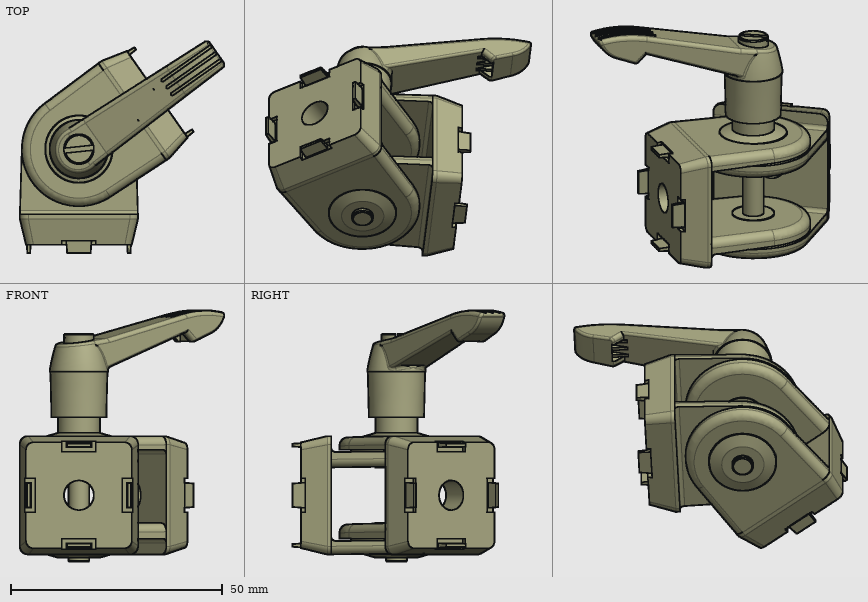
import cadquery as cq
import math


swivel_angle = 35.0
pin_radius = 2.5
washer_radius = 10.75
washer_thickness = 0.5
collar_radius = 5.0

plate_size = 28.0
plate_corner = 2.0
plate_inner_x = 15.4
plate_rim = 1.0
plate_outer_x = 22.6
plate_draft_inset = 1.5
plate_outer_corner = 1.7
plate_hole_diameter = 7.0
half_plate = plate_size / 2
outer_half = half_plate - plate_draft_inset

ear_tip_radius = 13.5
ear_round = 2.0
ear_slope_drop = 0.4
outer_ear_mate_z = 10.75
outer_ear_thickness = half_plate - outer_ear_mate_z
inner_ear_mate_z = outer_ear_mate_z - washer_thickness
inner_ear_thickness = 3.7
cove_radius = 1.0

recess_radius = 8.0
recess_floor_z = 13.0

tab_width = 6.0
tab_tip_width = 5.6
tab_thickness = 1.1
tab_tip_thickness = 0.7
tab_length = 1.97
tab_edge_gap = 0.1
notch_width = 8.0
notch_height = 2.2
notch_depth = 1.0

cone_base_radius = 7.9
cone_base_z = 13.9
cone_top_radius = 5.0
cone_top_z = 14.75

stud_bottom_z = -15.75
stud_chamfer = 0.3
sleeve_radius = 5.0
sleeve_top_z = 28.0

hub_bottom_z = 18.4
hub_bottom_radius = 6.55
hub_neck_radius = 6.8
hub_ridge_z = 29.4
hub_ridge_radius = 6.95
hub_ridge_height = 0.25
hub_crown_radius = 4.7
hub_crown_z = 38.0
hub_bulge = 0.2
hub_top_z = 36.4
hub_top_slope = 0.145
hub_top_round = 0.9

arm_root_half_width = 5.45
arm_tip_half_width = 3.7
arm_length = 40.1
arm_top_round = 1.0
arm_bottom_round = 0.6
arm_tip_round = 0.6
arm_top_start = (4.8, 37.1)
arm_top_end = (28.0, 42.8)
arm_tip_top = (arm_length, 43.07)
arm_tip_low = (39.5, 42.0)
arm_tip_bulge = (37.9, 39.7)
lobe_back = (35.3, 38.1)
lobe_bottom = (30.4, 36.15)
lobe_root = (28.0, 38.4)
arm_underside_start = (3.5, 29.55)

lobe_round = 1.0
pocket_half_width = 2.3
pocket_back_x = 30.9
seam_round = 0.9
blend_start_x = 0.8
blend_length = 6.0
blend_top_z = 35.3
edge_tolerance = 0.8

grip_spacing = 2.0
grip_width = 0.7
grip_height = 0.13
grip_start = 25.2
grip_end = 39.6

screw_head_radius = 3.55
screw_seat_z = 35.0
screw_top_z = 38.2
screw_chamfer = 0.3
screw_shank_radius = 2.0
slot_width = 1.2
slot_depth = 1.0
slot_angle = 6.0


def cylinder(radius, bottom_z, top_z):
    return cq.Workplane("XY").workplane(offset=bottom_z).circle(radius).extrude(top_z - bottom_z)


def make_ear(mate_z, thickness):
    """Drafted ear with a flat mating face underneath and a rounded upper rim."""
    root_x = plate_inner_x + plate_rim
    root_distance = math.hypot(root_x, half_plate)
    tangent_angle = math.atan2(half_plate, root_x) + math.acos(ear_tip_radius / root_distance)
    tangent_x = ear_tip_radius * math.cos(tangent_angle)
    tangent_y = ear_tip_radius * math.sin(tangent_angle)
    outline = (
        cq.Workplane("XY").workplane(offset=mate_z)
        .moveTo(root_x, -half_plate)
        .lineTo(root_x, half_plate)
        .lineTo(tangent_x, tangent_y)
        .threePointArc((-ear_tip_radius, 0), (tangent_x, -tangent_y))
        .close()
        .extrude(thickness)
    )
    wedge = (
        cq.Workplane("XZ")
        .moveTo(root_x, mate_z)
        .lineTo(root_x, mate_z + thickness)
        .lineTo(plate_inner_x, mate_z + thickness)
        .lineTo(-ear_tip_radius, mate_z + thickness - ear_slope_drop)
        .lineTo(-ear_tip_radius, mate_z)
        .close()
        .extrude(half_plate, both=True)
    )
    ear = outline.intersect(wedge)
    rim = []
    for edge in ear.edges().vals():
        centre = edge.Center()
        is_upper = centre.z > mate_z + thickness / 2
        is_upright = edge.BoundingBox().zlen > thickness / 2
        is_across = edge.geomType() == "LINE" and abs(centre.y) < ear_round
        if is_upper and not is_upright and not is_across:
            rim.append(edge)
    return ear.newObject(rim).fillet(ear_round)


def rounded_square(side, corner):
    return cq.Sketch().rect(side, side).vertices().fillet(corner)


def make_plate():
    """Square end plate: straight rim, then sides sloping in to the outer face."""
    slope_length = plate_outer_x - plate_inner_x - plate_rim
    rim_outline = rounded_square(plate_size, plate_corner)
    outer_outline = rounded_square(2 * outer_half, plate_outer_corner)
    rim = cq.Workplane("YZ").workplane(offset=plate_inner_x).placeSketch(rim_outline).extrude(plate_rim)
    slope = (
        cq.Workplane("YZ").workplane(offset=plate_inner_x + plate_rim)
        .placeSketch(rim_outline, outer_outline.moved(cq.Location(cq.Vector(0, 0, slope_length))))
        .loft()
    )
    return rim.union(slope)


def make_tab():
    """Locating tab at the upper edge of the plate's outer face."""
    middle_z = outer_half - tab_edge_gap - tab_thickness / 2
    foot_x = plate_outer_x - notch_depth
    return (
        cq.Workplane("YZ", origin=(foot_x, 0, middle_z))
        .rect(tab_width, tab_thickness)
        .workplane(offset=notch_depth + tab_length)
        .rect(tab_tip_width, tab_tip_thickness)
        .loft()
    )


def make_notch():
    """Recess around a tab's foot, open to the sloping side of the plate."""
    bottom_z = outer_half - notch_height
    height = half_plate - bottom_z
    return (
        cq.Workplane("XY")
        .box(notch_depth, notch_width, height, centered=(False, True, False))
        .translate((plate_outer_x - notch_depth, 0, bottom_z))
    )


def make_bracket():
    """Bracket with its plate towards +X, its outer ear on top and its inner ear below."""
    body = make_plate()
    body = body.union(make_ear(outer_ear_mate_z, outer_ear_thickness))
    body = body.union(make_ear(-inner_ear_mate_z, inner_ear_thickness))
    for mate_z in (outer_ear_mate_z, -inner_ear_mate_z):
        corner = cq.selectors.BoxSelector(
            (plate_inner_x - 0.1, -1, mate_z - 0.1), (plate_inner_x + 0.1, 1, mate_z + 0.1))
        body = body.edges(corner).fillet(cove_radius)
    for turn in range(4):
        body = body.cut(make_notch().rotate((0, 0, 0), (1, 0, 0), 90 * turn))
        body = body.union(make_tab().rotate((0, 0, 0), (1, 0, 0), 90 * turn))
    hole = cq.Workplane("YZ").workplane(offset=plate_inner_x).circle(plate_hole_diameter / 2).extrude(
        plate_outer_x - plate_inner_x)
    body = body.cut(hole)
    body = body.cut(cylinder(pin_radius, outer_ear_mate_z, half_plate))
    body = body.cut(cylinder(recess_radius, recess_floor_z, half_plate))
    return body.cut(cylinder(collar_radius, -inner_ear_mate_z, 0))


def make_bushing():
    """Friction washer below the inner ear, with a collar standing up through the ear."""
    flange = cylinder(washer_radius, -outer_ear_mate_z, -inner_ear_mate_z)
    collar = cylinder(collar_radius, -inner_ear_mate_z, inner_ear_thickness - inner_ear_mate_z)
    bore = cylinder(pin_radius, -outer_ear_mate_z, 0)
    return flange.union(collar).cut(bore)


def make_cone_washer():
    return (
        cq.Workplane("XZ")
        .moveTo(pin_radius, recess_floor_z)
        .lineTo(cone_base_radius, recess_floor_z)
        .lineTo(cone_base_radius, cone_base_z)
        .lineTo(cone_top_radius, cone_top_z)
        .lineTo(pin_radius, cone_top_z)
        .close()
        .revolve(360, (0, 0, 0), (0, 1, 0))
    )


def make_stud():
    """Pivot pin with a thicker sleeve that rises into the lever's hub."""
    pin = cylinder(pin_radius, stud_bottom_z, cone_top_z).faces("<Z").chamfer(stud_chamfer)
    return pin.union(cylinder(sleeve_radius, cone_top_z, sleeve_top_z))


def make_hub():
    """Turned hub of the lever, cut off at the top by a plane that rises towards +X."""
    side_mid = (
        (hub_ridge_radius + hub_crown_radius) / 2 + hub_bulge,
        (hub_ridge_z + hub_crown_z) / 2,
    )
    blank = (
        cq.Workplane("XZ")
        .moveTo(0, hub_bottom_z)
        .lineTo(hub_bottom_radius, hub_bottom_z)
        .lineTo(hub_neck_radius, hub_ridge_z - hub_ridge_height)
        .lineTo(hub_ridge_radius, hub_ridge_z - hub_ridge_height)
        .lineTo(hub_ridge_radius, hub_ridge_z)
        .threePointArc(side_mid, (hub_crown_radius, hub_crown_z))
        .lineTo(0, hub_crown_z)
        .close()
        .revolve(360, (0, 0, 0), (0, 1, 0))
    )
    reach = 2 * hub_ridge_radius
    above = (
        cq.Workplane("XZ")
        .moveTo(-reach, hub_top_z - reach * hub_top_slope)
        .lineTo(reach, hub_top_z + reach * hub_top_slope)
        .lineTo(reach, 2 * hub_crown_z)
        .lineTo(-reach, 2 * hub_crown_z)
        .close()
        .extrude(reach, both=True)
    )
    return blank.cut(above)


def arm_top(lift):
    """Open outline of the arm's top, from the edge of the hub's top to the tip, raised by a lift."""
    return (
        cq.Workplane("XZ", origin=(0, 0, lift))
        .moveTo(*arm_top_start)
        .lineTo(*arm_top_end)
        .tangentArcPoint(arm_tip_top, relative=False)
    )


def make_arm_blank():
    """Sharp-edged arm along +X, narrowing towards the tip, with a finger lobe underneath."""
    side = (
        arm_top(0)
        .lineTo(*arm_tip_low)
        .threePointArc(arm_tip_bulge, lobe_back)
        .lineTo(*lobe_bottom)
        .lineTo(*lobe_root)
        .lineTo(*arm_underside_start)
        .lineTo(0, arm_underside_start[1])
        .lineTo(0, hub_top_z)
        .close()
        .extrude(hub_ridge_radius, both=True)
    )
    plan = (
        cq.Workplane("XY").workplane(offset=hub_bottom_z)
        .moveTo(0, -arm_root_half_width)
        .lineTo(arm_length, -arm_tip_half_width)
        .lineTo(arm_length, arm_tip_half_width)
        .lineTo(0, arm_root_half_width)
        .close()
        .extrude(arm_tip_top[1])
    )
    return side.intersect(plan)


def round_sides(arm, starts_and_ends, radius):
    """Round the edges on both sides of the arm whose centre lies midway between two (x, z) points."""
    chosen = []
    for start, end in starts_and_ends:
        middle_x = (start[0] + end[0]) / 2
        middle_z = (start[1] + end[1]) / 2
        for edge in arm.edges().vals():
            centre = edge.Center()
            on_side = abs(centre.y) > arm_tip_half_width - 0.1
            if on_side and math.hypot(centre.x - middle_x, centre.z - middle_z) < edge_tolerance:
                chosen.append(edge)
    return arm.newObject(chosen).fillet(radius)


def make_lobe_pocket():
    """Hollow in the front of the finger lobe, up to the arm's underside."""
    underside_slope = (lobe_root[1] - arm_underside_start[1]) / (lobe_root[0] - arm_underside_start[0])
    back_z = lobe_root[1] + underside_slope * (pocket_back_x - lobe_root[0])
    return (
        cq.Workplane("XZ")
        .moveTo(*lobe_root)
        .lineTo(pocket_back_x, back_z)
        .lineTo(pocket_back_x, lobe_bottom[1] - 1)
        .lineTo(lobe_root[0], lobe_bottom[1] - 1)
        .close()
        .extrude(pocket_half_width, both=True)
    )


def make_grips():
    """Three raised grip lines that follow the arm's top near the tip."""
    blank = (
        arm_top(grip_height)
        .lineTo(*lobe_back)
        .close()
        .extrude(hub_ridge_radius, both=True)
    )
    lines = (
        cq.Workplane("XY").workplane(offset=lobe_back[1])
        .pushPoints([((grip_start + grip_end) / 2, row * grip_spacing) for row in (-1, 0, 1)])
        .slot2D(grip_end - grip_start, grip_width)
        .extrude(arm_tip_top[1])
    )
    return lines.intersect(blank)


def make_lever():
    """Hub, arm and grip lines in one piece, with bores for the sleeve and the screw."""
    hub = make_hub()
    arm = make_arm_blank()
    arm = round_sides(arm, [(lobe_root, lobe_bottom)], lobe_round)

    top_lines = [((0, hub_top_z), arm_top_start), (arm_top_start, arm_top_end), (arm_top_end, arm_tip_top)]
    finished_arm = round_sides(arm, top_lines, arm_top_round)
    finished_arm = round_sides(finished_arm, [(arm_tip_low, arm_tip_top)], arm_tip_round)
    underside = [(arm_underside_start, lobe_root)]
    finished_arm = round_sides(finished_arm, underside, arm_bottom_round)
    finished_arm = finished_arm.cut(make_lobe_pocket())
    rounded_hub = hub.faces(">Z").edges().fillet(hub_top_round)

    joined = hub.union(round_sides(arm, underside, arm_bottom_round))
    seams = [
        edge for edge in joined.edges().vals()
        if edge.geomType() == "BSPLINE"
        and abs(edge.Center().y) > arm_tip_half_width
        and edge.BoundingBox().xmin > -edge_tolerance
        and edge.BoundingBox().zlen > arm_root_half_width - 1
    ]
    joined = joined.newObject(seams).fillet(seam_round)
    blend_zone = cq.Workplane("XY").box(
        blend_length, 2 * hub_ridge_radius, blend_top_z - hub_ridge_z, centered=(False, True, False)
    ).translate((blend_start_x, 0, hub_ridge_z))
    blend = joined.intersect(blend_zone)

    lever = rounded_hub.union(finished_arm).union(blend).union(make_grips())
    lever = lever.rotate((0, 0, 0), (0, 0, 1), swivel_angle)
    lever = lever.cut(cylinder(sleeve_radius, hub_bottom_z, sleeve_top_z))
    lever = lever.cut(cylinder(screw_shank_radius, sleeve_top_z, screw_seat_z))
    return lever.cut(cylinder(screw_head_radius, screw_seat_z, screw_top_z))


def make_screw():
    """Slotted screw sunk into the top of the hub."""
    head = cylinder(screw_head_radius, screw_seat_z, screw_top_z).faces(">Z").chamfer(screw_chamfer)
    slot = (
        cq.Workplane("XY")
        .box(3 * screw_head_radius, slot_width, slot_depth, centered=(True, True, False))
        .rotate((0, 0, 0), (0, 0, 1), slot_angle)
        .translate((0, 0, screw_top_z - slot_depth))
    )
    return head.cut(slot).union(cylinder(screw_shank_radius, sleeve_top_z, screw_seat_z))


bracket = make_bracket()
swivel_bracket = bracket.rotate((0, 0, 0), (0, 0, 1), swivel_angle)
fixed_bracket = bracket.rotate((0, 0, 0), (1, 0, 0), 180).rotate((0, 0, 0), (0, 0, 1), -90)

bushings = [make_bushing().rotate((0, 0, 0), (1, 0, 0), turn) for turn in (0, 180)]
cone_washers = [make_cone_washer().rotate((0, 0, 0), (1, 0, 0), turn) for turn in (0, 180)]

stud = make_stud()
lever = make_lever()
screw = make_screw()

result = cq.Compound.makeCompound([
    fixed_bracket.val(),
    swivel_bracket.val(),
    *[bushing.val() for bushing in bushings],
    *[washer.val() for washer in cone_washers],
    stud.val(),
    lever.val(),
    screw.val(),
])